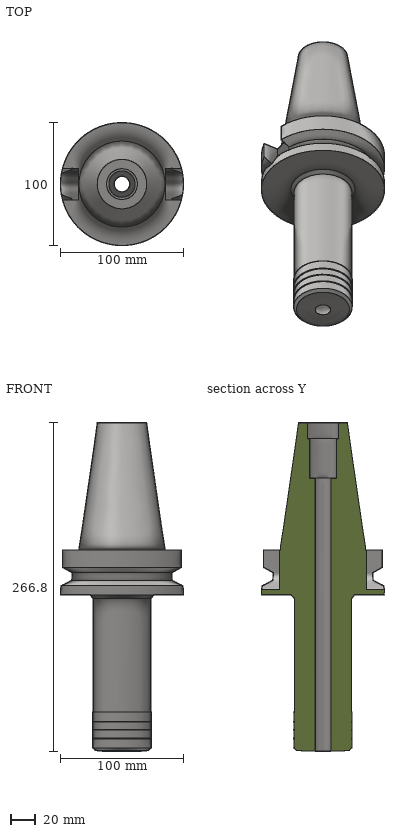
import cadquery as cq
import math

taper_length = 101.8
projection = 165.0

gauge_radius = 69.85 / 2
taper_slope = 7 / 48
taper_tip_radius = gauge_radius - taper_length * taper_slope

flange_radius = 50.0
flange_top_z = -1.5
flange_bottom_z = -38.0
groove_radius = 42.5
groove_centre_z = -23.1
groove_floor_width = 6.2
groove_side_angle = 30.0

shank_radius = 23.5
collar_radius = 26.0
collar_height = 3.0

nose_length = 32.0
nose_step = 0.3
nose_radius = shank_radius + nose_step
end_chamfer = 2.3
end_cone_height = 0.6
end_face_radius = 15.0
ring_heights = (10.5, 17.5, 24.0)
ring_width = 0.6
ring_depth = 0.3

keyway_width = 25.7
keyway_floor_x = 35.4
keyway_end_z = -33.6

pilot_diameter = 25.0
pilot_depth = 13.0
thread_diameter = 21.4
thread_depth = 45.0
through_diameter = 12.5


def make_body():
    """Revolved outline of taper, flange, shank and nose."""
    end_z = -projection
    groove_floor_half = groove_floor_width / 2
    groove_side_height = (flange_radius - groove_radius) * math.tan(math.radians(groove_side_angle))
    groove_mouth_half = groove_floor_half + groove_side_height
    outline = [
        (0, taper_length),
        (taper_tip_radius, taper_length),
        (gauge_radius, 0),
        (gauge_radius, flange_top_z),
        (flange_radius, flange_top_z),
        (flange_radius, groove_centre_z + groove_mouth_half),
        (groove_radius, groove_centre_z + groove_floor_half),
        (groove_radius, groove_centre_z - groove_floor_half),
        (flange_radius, groove_centre_z - groove_mouth_half),
        (flange_radius, flange_bottom_z),
        (collar_radius, flange_bottom_z),
        (shank_radius, flange_bottom_z - collar_height),
        (shank_radius, end_z + nose_length),
        (nose_radius, end_z + nose_length),
        (nose_radius, end_z + end_cone_height + end_chamfer),
        (nose_radius - end_chamfer, end_z + end_cone_height),
        (end_face_radius, end_z),
        (0, end_z),
    ]
    return cq.Workplane("YZ").polyline(outline).close().revolve(360, (0, 0), (0, 1))


def cut_rings(body):
    """Shallow marking rings around the nose."""
    for height in ring_heights:
        ring = (
            cq.Workplane("XY", origin=(0, 0, -projection + height - ring_width / 2))
            .circle(flange_radius)
            .circle(nose_radius - ring_depth)
            .extrude(ring_width)
        )
        body = body.cut(ring)
    return body


def cut_keyways(body):
    """Round-ended keyways on the -X and +X sides, open at the flange top."""
    half_width = keyway_width / 2
    arc_centre_z = keyway_end_z + half_width
    keyway = (
        cq.Workplane("YZ", origin=(keyway_floor_x, 0, 0))
        .moveTo(-half_width, flange_top_z)
        .lineTo(-half_width, arc_centre_z)
        .threePointArc((0, keyway_end_z), (half_width, arc_centre_z))
        .lineTo(half_width, flange_top_z)
        .close()
        .extrude(flange_radius)
    )
    return body.cut(keyway).cut(keyway.mirror("YZ"))


def cut_bore(body):
    """Stepped bore from the taper tip, with a coolant hole right through."""
    top = cq.Workplane("XY", origin=(0, 0, taper_length))
    steps = (
        (pilot_diameter, pilot_depth),
        (thread_diameter, thread_depth),
        (through_diameter, taper_length + projection),
    )
    for diameter, depth in steps:
        body = body.cut(top.circle(diameter / 2).extrude(-depth))
    return body


result = cut_bore(cut_keyways(cut_rings(make_body())))